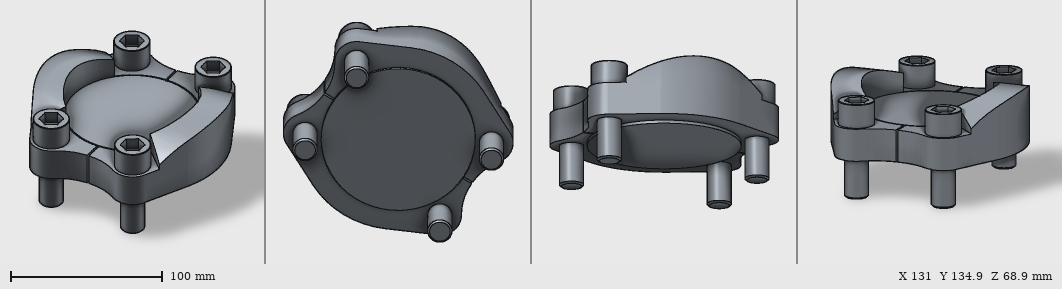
import cadquery as cq
import math

overall_width = 131.0
overall_length = 134.9
split_gap = 1.3
screw_x = 30.9
screw_y = 53.2

flange_thickness = 21.9
crown_height = 41.0
crown_end_height = 25.4
crown_half_chord = 49.0
bore_diameter = 90.7
waist_y = 58.3

plug_diameter = 88.9
plug_top = flange_thickness
shoulder_diameter = 101.6
shoulder_bottom = -2.2
shoulder_top = 0.0
cone_diameter = 92.4
cone_top = 1.3
collar_top = 4.9

shank_diameter = 16.0
shank_bottom = -27.9
shank_chamfer = 1.2
head_diameter = 24.0
head_height = 16.0
head_chamfer = 0.4
hex_across_flats = 14.0
hex_depth = 8.0

half_width = overall_width / 2
half_length = overall_length / 2
half_shift = split_gap / 2
outer_radius = half_width - half_shift
ear_radius = half_length - screw_y


def clamp_outline():
    """Right-hand half: outer arc, tangent flanks, rounded ears and concave waist."""
    ear_dx = screw_x - half_shift
    ear_distance = math.hypot(ear_dx, screw_y)
    flank_angle = math.atan2(screw_y, ear_dx) - math.acos((outer_radius - ear_radius) / ear_distance)
    flank_cos = math.cos(flank_angle)
    flank_sin = math.sin(flank_angle)
    flank_start = (half_shift + outer_radius * flank_cos, outer_radius * flank_sin)
    flank_end = (screw_x + ear_radius * flank_cos, screw_y + ear_radius * flank_sin)

    rise = waist_y - screw_y
    waist_radius = (ear_dx**2 + rise**2 - ear_radius**2) / (2 * (ear_radius - rise))
    waist_centre_y = waist_y + waist_radius
    waist_angle = math.atan2(waist_centre_y - screw_y, -ear_dx)
    ear_end = (
        screw_x + ear_radius * math.cos(waist_angle),
        screw_y + ear_radius * math.sin(waist_angle),
    )
    ear_end_angle = waist_angle - math.pi
    slit_angle = -math.pi / 2
    mid_waist_angle = (ear_end_angle + slit_angle) / 2
    waist_mid = (
        half_shift + waist_radius * math.cos(mid_waist_angle),
        waist_centre_y + waist_radius * math.sin(mid_waist_angle),
    )
    waist_end = (half_shift, waist_y)
    ear_tip = (screw_x, half_length)

    def mirrored(point):
        return (point[0], -point[1])

    return (
        cq.Workplane("XY")
        .moveTo(*mirrored(flank_start))
        .threePointArc((half_width, 0), flank_start)
        .lineTo(*flank_end)
        .threePointArc(ear_tip, ear_end)
        .threePointArc(waist_mid, waist_end)
        .lineTo(*mirrored(waist_end))
        .threePointArc(mirrored(waist_mid), mirrored(ear_end))
        .threePointArc(mirrored(ear_tip), mirrored(flank_end))
        .close()
    )


def clamp_half():
    """Flat ears plus an arched wall between two 45-degree end faces, bored through."""
    ears = clamp_outline().extrude(flange_thickness)
    arch = (
        cq.Workplane("YZ")
        .moveTo(-crown_half_chord, 0)
        .lineTo(-crown_half_chord, crown_end_height)
        .threePointArc((0, crown_height), (crown_half_chord, crown_end_height))
        .lineTo(crown_half_chord, 0)
        .close()
        .extrude(half_width)
    )
    sector = (
        cq.Workplane("XY")
        .polyline([(0, 0), (half_width, -half_width), (half_width, half_width)])
        .close()
        .extrude(crown_height)
    )
    wall = clamp_outline().extrude(crown_height).intersect(arch).intersect(sector)
    bore = cq.Workplane("XY").circle(bore_diameter / 2).extrude(crown_height)
    return ears.union(wall).cut(bore)


def plug():
    """Round plug: wide shoulder, short cone, collar filling the bore, then a narrower body."""
    profile = [
        (0, shoulder_bottom),
        (shoulder_diameter / 2, shoulder_bottom),
        (shoulder_diameter / 2, shoulder_top),
        (cone_diameter / 2, shoulder_top),
        (bore_diameter / 2, cone_top),
        (bore_diameter / 2, collar_top),
        (plug_diameter / 2, collar_top),
        (plug_diameter / 2, plug_top),
        (0, plug_top),
    ]
    return cq.Workplane("XZ").polyline(profile).close().revolve(360, (0, 0, 0), (0, 1, 0))


def screw():
    """Socket-head screw on the Z axis, seated on the ears."""
    shank = (
        cq.Workplane("XY")
        .workplane(offset=shank_bottom)
        .circle(shank_diameter / 2)
        .extrude(flange_thickness - shank_bottom)
        .faces("<Z")
        .chamfer(shank_chamfer)
    )
    head = (
        cq.Workplane("XY")
        .workplane(offset=flange_thickness)
        .circle(head_diameter / 2)
        .extrude(head_height)
        .faces(">Z")
        .chamfer(head_chamfer)
    )
    hex_across_corners = hex_across_flats / math.cos(math.pi / 6)
    socket = (
        cq.Workplane("XY")
        .workplane(offset=flange_thickness + head_height - hex_depth)
        .transformed(rotate=(0, 0, 90))
        .polygon(6, hex_across_corners)
        .extrude(hex_depth)
    )
    return shank.union(head).cut(socket)


right_half = clamp_half()
left_half = right_half.mirror("YZ")
result = plug().union(right_half).union(left_half)
for x in (-screw_x, screw_x):
    for y in (-screw_y, screw_y):
        result = result.union(screw().translate((x, y, 0)))